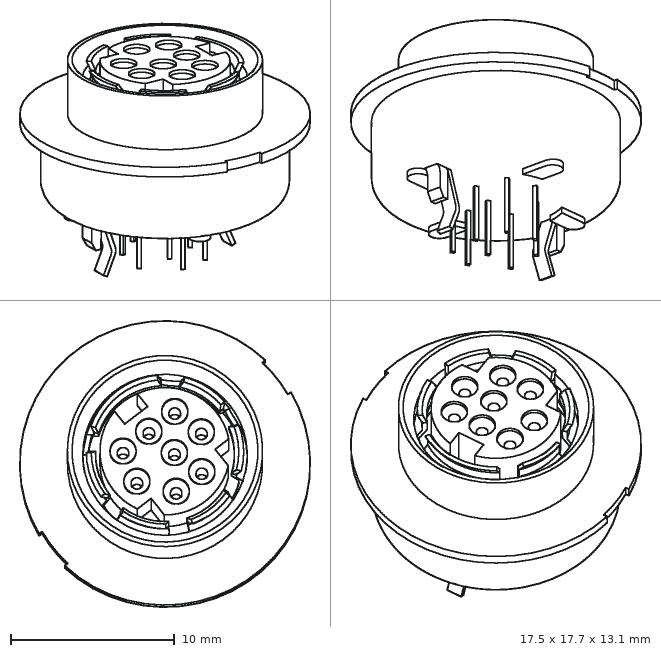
import cadquery as cq
import math

TUBE_RADIUS = 5.95
TUBE_HEIGHT = 3.53
FLANGE_RADIUS = 8.86
FLANGE_THICKNESS = 0.64
FLANGE_NOTCH_RADIUS = 8.63
FLANGE_NOTCH_WIDTH = 2.52
BODY_RADIUS = 7.6
BODY_BOTTOM = -9.13
BODY_FILLET = 1.28
MOUTH_RADIUS = 5.67
BORE_RADIUS = 5.01
MOUTH_DEPTH = 1.1
FLOOR = -TUBE_HEIGHT
FLANGE_BOTTOM = FLOOR - FLANGE_THICKNESS

SPRING_THICKNESS = 0.3
SPRING_WALL_RADIUS = BORE_RADIUS - SPRING_THICKNESS
FINGER_TIP_RADIUS = 4.5
FINGER_WAIST_RADIUS = 4.24
FINGER_TIP = -0.23
FINGER_WAIST = -0.75
FINGER_WAIST_END = -1.42
FINGER_ROOT = -2.13
SLOT_BOTTOM = -3.01
SLOT_HALF_ANGLE = 7.5
TIP_TAPER_ANGLE = 2.6
SLOT_ANGLES = [90 + side * offset for offset in (42.5, 97.5, 152.5) for side in (-1, 1)]

CORE_RADIUS = 3.97
CORE_TOP = -0.05
KEYWAY_WIDTH = 1.77
KEYWAY_INNER_Y = 2.85
CORNER_KEYWAY_X = 2.48
CORNER_KEYWAY_Y = -1.79
SOCKET_MOUTH_RADIUS = 0.8
SOCKET_MOUTH_DEPTH = 0.23
SOCKET_RADIUS = 0.35
SOCKET_DEPTH = 2.65
SOCKETS = [
    (-2.0, 1.6),
    (0, 1.6),
    (2.0, 1.6),
    (-2.5, -0.4),
    (0.4, -0.4),
    (2.5, -0.4),
    (-1.0, -2.37),
    (1.0, -2.37),
]

PIN_SIDE = 0.25
PIN_TURN = 27.0
PIN_BOTTOM = -12.7
PINS = [
    (-2.22, 1.47),
    (0, 1.85),
    (2.22, 1.47),
    (-2.75, -0.51),
    (0.87, -0.23),
    (2.75, -0.51),
    (-1.25, -2.27),
    (1.15, -2.65),
]

PAD_HEIGHT = 0.37
PAD_WIDTH = 1.33
PAD_OFFSET = 1.25
PAD_REACH = 6.4
PAD_INNER_RADIUS = 4.35

TAB_WIDTH = 1.01
POST_OUTER_Y = 5.7
POST_INNER_Y = 5.01
POST_BOTTOM = -11.18
POST_CHAMFER_WIDTH = 0.32
POST_CHAMFER_HEIGHT = 0.57
POST_BEND_RADIUS = 0.55
CLIP_THICKNESS = 0.3
CLIP_TOP_Y = 4.87
CLIP_KNEE_Y = 4.04
CLIP_KNEE = -11.52
CLIP_END_Y = 4.7
CLIP_END = -13.0
CLIP_KNEE_FILLET = 0.6

OVERLAP = 0.09


def disc(radius, bottom, top):
    return cq.Workplane("XY").workplane(offset=bottom).circle(radius).extrude(top - bottom)


def turned(points):
    """Solid of revolution about Z from (radius, z) points."""
    return cq.Workplane("XZ").polyline(points).close().revolve(360, (0, 0), (0, 1))


def make_housing():
    body = disc(BODY_RADIUS, BODY_BOTTOM, FLANGE_BOTTOM).faces("<Z").edges().fillet(BODY_FILLET)
    flange = disc(FLANGE_RADIUS, FLANGE_BOTTOM, FLOOR)
    rim_band = flange.cut(disc(FLANGE_NOTCH_RADIUS, FLANGE_BOTTOM, FLOOR))
    notch_strip = cq.Workplane("XY").box(3 * FLANGE_RADIUS, FLANGE_NOTCH_WIDTH, 3 * FLANGE_RADIUS)
    flange = flange.cut(rim_band.intersect(notch_strip))
    bore = turned([(0, 0), (MOUTH_RADIUS, 0), (BORE_RADIUS, -MOUTH_DEPTH), (BORE_RADIUS, FLOOR), (0, FLOOR)])
    tube = disc(TUBE_RADIUS, FLOOR, 0).cut(bore)
    return body.union(flange).union(tube)


def slot_outline(radius):
    """Rounded slot, wider beside the finger tips, on the plane x = radius."""
    half = radius * math.tan(math.radians(SLOT_HALF_ANGLE))
    tip_half = radius * math.tan(math.radians(SLOT_HALF_ANGLE + TIP_TAPER_ANGLE))
    round_start = SLOT_BOTTOM + SPRING_WALL_RADIUS * math.tan(math.radians(SLOT_HALF_ANGLE))
    return (
        cq.Workplane("YZ", origin=(radius, 0, 0))
        .moveTo(-half, round_start)
        .threePointArc((0, SLOT_BOTTOM), (half, round_start))
        .lineTo(half, FINGER_WAIST)
        .lineTo(tip_half, FINGER_TIP)
        .lineTo(-tip_half, FINGER_TIP)
        .lineTo(-half, FINGER_WAIST)
        .close()
        .val()
    )


def make_spring():
    ring = turned([
        (SPRING_WALL_RADIUS, FLOOR - OVERLAP),
        (SPRING_WALL_RADIUS, FINGER_ROOT),
        (FINGER_WAIST_RADIUS, FINGER_WAIST_END),
        (FINGER_WAIST_RADIUS, FINGER_WAIST),
        (FINGER_TIP_RADIUS, FINGER_TIP),
        (FINGER_TIP_RADIUS + SPRING_THICKNESS, FINGER_TIP),
        (FINGER_WAIST_RADIUS + SPRING_THICKNESS, FINGER_WAIST),
        (FINGER_WAIST_RADIUS + SPRING_THICKNESS, FINGER_WAIST_END),
        (BORE_RADIUS, FINGER_ROOT),
        (BORE_RADIUS, FLOOR - OVERLAP),
    ])
    slot = cq.Solid.makeLoft([slot_outline(CORE_RADIUS), slot_outline(TUBE_RADIUS)], True)
    for angle in SLOT_ANGLES:
        ring = ring.cut(cq.Workplane(slot.rotate(cq.Vector(), cq.Vector(0, 0, 1), angle)))
    return ring


def make_core():
    core = disc(CORE_RADIUS, FLOOR - OVERLAP, CORE_TOP)
    keyways = (
        cq.Workplane("XY", origin=(0, 0, FLOOR))
        .center(0, KEYWAY_INNER_Y + CORE_RADIUS / 2)
        .rect(KEYWAY_WIDTH, CORE_RADIUS)
        .extrude(TUBE_HEIGHT)
    )
    for side in (-1, 1):
        corner = (
            cq.Workplane("XY", origin=(0, 0, FLOOR))
            .center(side * (CORNER_KEYWAY_X + CORE_RADIUS / 2), CORNER_KEYWAY_Y - CORE_RADIUS / 2)
            .rect(CORE_RADIUS, CORE_RADIUS)
            .extrude(TUBE_HEIGHT)
        )
        keyways = keyways.union(corner)
    return core.cut(keyways)


def make_socket():
    """Cutter for one socket: a short straight mouth, a 45-degree cone and a blind hole."""
    cone_depth = SOCKET_MOUTH_RADIUS - SOCKET_RADIUS
    cone_top = CORE_TOP - SOCKET_MOUTH_DEPTH
    return turned([
        (0, CORE_TOP),
        (SOCKET_MOUTH_RADIUS, CORE_TOP),
        (SOCKET_MOUTH_RADIUS, cone_top),
        (SOCKET_RADIUS, cone_top - cone_depth),
        (SOCKET_RADIUS, CORE_TOP - SOCKET_DEPTH),
        (0, CORE_TOP - SOCKET_DEPTH),
    ])


def make_pads():
    straight = PAD_REACH - PAD_WIDTH / 2
    height = PAD_HEIGHT + BODY_FILLET
    bottom = BODY_BOTTOM - PAD_HEIGHT
    start = cq.Workplane("XY", origin=(0, 0, bottom))
    pad = start.center(straight / 2, -PAD_OFFSET).rect(straight, PAD_WIDTH).extrude(height)
    pad = pad.union(start.center(straight, -PAD_OFFSET).circle(PAD_WIDTH / 2).extrude(height))
    pad = pad.cut(disc(PAD_INNER_RADIUS, bottom, bottom + height))
    pads = pad
    for turn in (90, 180, 270):
        pads = pads.union(pad.rotate((0, 0, 0), (0, 0, 1), turn))
    return pads


def make_post(plane, top):
    """Straight post whose outer face bends outward into the body; outline in (y, z)."""
    bend_end = POST_OUTER_Y + POST_BEND_RADIUS
    bend_middle = POST_BEND_RADIUS * math.sqrt(0.5)
    return (
        plane.moveTo(POST_INNER_Y, top)
        .lineTo(POST_INNER_Y, POST_BOTTOM)
        .lineTo(POST_OUTER_Y - POST_CHAMFER_WIDTH, POST_BOTTOM)
        .lineTo(POST_OUTER_Y, POST_BOTTOM + POST_CHAMFER_HEIGHT)
        .lineTo(POST_OUTER_Y, top - POST_BEND_RADIUS)
        .threePointArc((bend_end - bend_middle, top - POST_BEND_RADIUS + bend_middle), (bend_end, top))
        .close()
        .extrude(TAB_WIDTH)
    )


def make_clip(plane, top):
    """Spring clip with a rounded knee bent toward the axis; outline in (y, z)."""
    upper_tilt = math.atan2(CLIP_TOP_Y - CLIP_KNEE_Y, BODY_BOTTOM - CLIP_KNEE)
    lower_tilt = math.atan2(CLIP_END_Y - CLIP_KNEE_Y, CLIP_KNEE - CLIP_END)
    half_upper = CLIP_THICKNESS / 2 / math.cos(upper_tilt)
    half_knee = CLIP_THICKNESS / 2 / math.cos((upper_tilt + lower_tilt) / 2)
    end_dy = CLIP_THICKNESS / 2 * math.cos(lower_tilt)
    end_dz = CLIP_THICKNESS / 2 * math.sin(lower_tilt)
    clip_top_y = CLIP_TOP_Y + (top - BODY_BOTTOM) * math.tan(upper_tilt)
    clip = (
        plane.moveTo(clip_top_y + half_upper, top)
        .lineTo(CLIP_KNEE_Y + half_knee, CLIP_KNEE)
        .lineTo(CLIP_END_Y + end_dy, CLIP_END + end_dz)
        .lineTo(CLIP_END_Y - end_dy, CLIP_END - end_dz)
        .lineTo(CLIP_KNEE_Y - half_knee, CLIP_KNEE)
        .lineTo(clip_top_y - half_upper, top)
        .close()
        .extrude(TAB_WIDTH)
    )
    knee_zone = cq.selectors.BoxSelector(
        (-TAB_WIDTH, CLIP_KNEE_Y - CLIP_THICKNESS, CLIP_KNEE - OVERLAP),
        (TAB_WIDTH, CLIP_KNEE_Y + CLIP_THICKNESS, CLIP_KNEE + OVERLAP),
    )
    return clip.edges("|X").edges(knee_zone).fillet(CLIP_KNEE_FILLET)


def make_tab():
    """Post and clip on the +Y side."""
    plane = cq.Workplane("YZ", origin=(-TAB_WIDTH / 2, 0, 0))
    top = BODY_BOTTOM + OVERLAP
    return make_post(plane, top).union(make_clip(plane, top))


def make_pin(x, y):
    height = BODY_BOTTOM + OVERLAP - PIN_BOTTOM
    turn = math.copysign(PIN_TURN, x)
    pin = cq.Workplane("XY", origin=(0, 0, PIN_BOTTOM)).rect(PIN_SIDE, PIN_SIDE).extrude(height)
    return pin.rotate((0, 0, 0), (0, 0, 1), -turn).translate((x, y, 0))


tab = make_tab()
result = make_housing().union(make_spring()).union(make_core()).union(make_pads())
result = result.union(tab).union(tab.mirror("XZ"))
for x, y in PINS:
    result = result.union(make_pin(x, y))
for x, y in SOCKETS:
    result = result.cut(make_socket().translate((x, y, 0)))